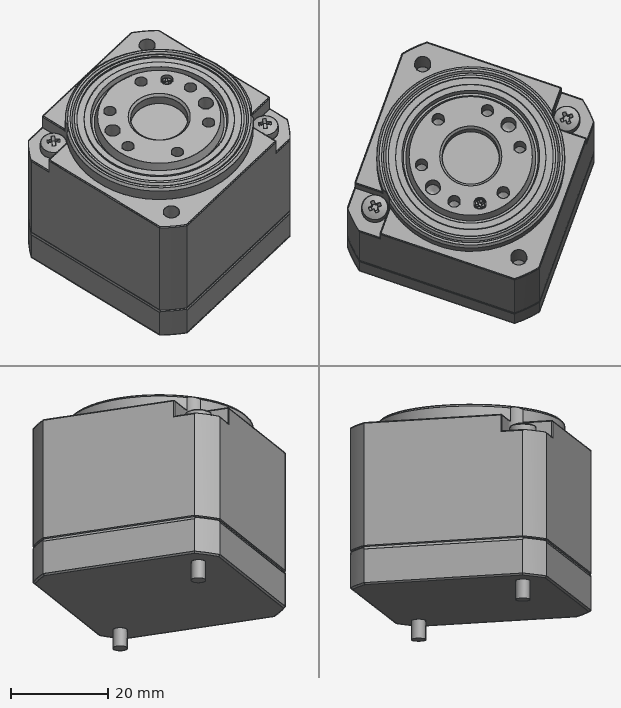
import cadquery as cq
import math

width = 42.0
corner_radius = 27.0
base_height = 8.0
block_top = 34.2
disc_top = 37.3
table_top = 37.9
edge_chamfer = 0.2
base_bottom_chamfer = 0.35
base_top_chamfer = 0.2
base_side_chamfer_drop = 0.55

disc_radius = 19.4
disc_chamfer = 0.5
vee_outer_radius = 18.4
vee_bottom_radius = 18.0
vee_inner_radius = 17.5
vee_depth = 0.4
channel_outer_radius = 17.0
channel_inner_radius = 15.5
channel_depth = 0.4

gap_mouth_radius = 14.2
gap_floor_radius = 13.9
gap_floor = disc_top - 1.2

table_face_radius = 12.7
table_radius = 13.4
bore_radius = 5.9
bore_chamfer = 0.5
bore_depth = 2.6
table_underside = table_top - 6.0
bolt_circle_radius = 10.3
tapped_diameter = 2.5
tapped_depth = 4.0
pin_hole_diameter = 3.1
pin_hole_depth = 3.5
plug_recess = 0.6
plug_bevel = 0.3
plug_cross_width = 0.45
plug_cross_radius = 0.85
plug_cross_floor_radius = 0.4
plug_cross_depth = 0.5
drill_point_angle = 118.0

mount_hole_diameter = 3.3
mount_hole_offset = 16.2
mount_hole_depth = 8.0
screw_offset = 15.5
recess_radius = 3.0
recess_wall = screw_offset - recess_radius
recess_floor = block_top - 3.5
shank_diameter = 3.0
shank_projection = 4.0
head_radius = 2.75
head_side_height = 1.4
dome_radius = 2.65
dome_start = 1.75
head_height = 2.5
cross_width = 0.75
cross_radius = 1.5
cross_floor_radius = 0.7
cross_depth = 0.9


def outline_slab(bottom, top):
    """Square prism whose corners are turned to the corner radius."""
    square = cq.Workplane("XY", origin=(0, 0, bottom)).rect(width, width).extrude(top - bottom)
    turned = cq.Workplane("XY", origin=(0, 0, bottom)).circle(corner_radius).extrude(top - bottom)
    return square.intersect(turned)


def drilled_hole(x, y, top, diameter, depth):
    """Blind round hole with a drill-point bottom, as a cutting solid."""
    radius = diameter / 2
    point = radius / math.tan(math.radians(drill_point_angle / 2))
    profile = [(0, 0), (radius, 0), (radius, -depth), (0, -depth - point)]
    hole = cq.Workplane("XZ").polyline(profile).close().revolve(360, (0, 0), (0, 1))
    return hole.translate((x, y, top))


def cross_recess(top, slot_width, radius, floor_radius, depth):
    """Cutting solid for a diagonal cross whose slots slope inward to a flat floor."""
    bottom = cq.Workplane("XY", origin=(0, 0, top - depth))
    bar = bottom.rect(2 * radius, slot_width).extrude(depth).rotate((0, 0, 0), (0, 0, 1), 45)
    cross = bar.union(bar.rotate((0, 0, 0), (0, 0, 1), 90))
    taper = bottom.circle(floor_radius).workplane(offset=depth).circle(radius).loft()
    return cross.intersect(taper)


def corner_recess(side):
    """Clearance for one screw head, open to the corner and upward; side is +1 or -1."""
    reach = width / 2
    size = reach - recess_wall
    center = side * (recess_wall + reach) / 2
    block = (
        cq.Workplane("XY", origin=(center, center, recess_floor))
        .rect(size, size)
        .extrude(table_top - recess_floor)
    )
    inner_edge = "<X and <Y" if side > 0 else ">X and >Y"
    return block.edges("|Z").edges(inner_edge).fillet(recess_radius)


def is_recess_rim_edge(edge):
    """True for the edges where a recess floor or wall runs out at the housing's outline."""
    center = edge.Center()
    near, far = sorted((abs(center.x), abs(center.y)))
    tolerance = 0.01
    on_side = far > width / 2 - tolerance
    on_corner = math.hypot(near, far) > corner_radius - tolerance
    on_floor = abs(center.z - recess_floor) < tolerance
    on_wall = abs(near - recess_wall) < tolerance and center.z < block_top - tolerance
    return (on_floor and (on_side or on_corner)) or (on_wall and on_side)


def make_base():
    base = outline_slab(0, base_height).faces("<Z").chamfer(base_bottom_chamfer)
    top_width = width - 2 * base_top_chamfer
    shoulder = base_height - base_side_chamfer_drop
    relieved_square = (
        cq.Workplane("XY")
        .rect(width, width)
        .extrude(shoulder)
        .faces(">Z")
        .workplane()
        .rect(width, width)
        .workplane(offset=base_side_chamfer_drop)
        .rect(top_width, top_width)
        .loft()
    )
    turned = cq.Workplane("XY").circle(corner_radius).extrude(base_height)
    turned = turned.faces(">Z").chamfer(base_top_chamfer)
    return base.intersect(relieved_square).intersect(turned)


def make_block():
    block = outline_slab(base_height, block_top)
    for side in (-1, 1):
        block = block.cut(corner_recess(side))
    rim_edges = [edge for edge in block.edges().vals() if is_recess_rim_edge(edge)]
    face_edges = block.faces("<Z or >Z").edges().vals()
    return block.newObject(rim_edges + face_edges).chamfer(edge_chamfer)


def make_disc():
    """Bearing disc with its ring channel and vee groove, notched for the screw heads."""
    profile = [
        (0, block_top - edge_chamfer),
        (disc_radius, block_top - edge_chamfer),
        (disc_radius, disc_top - disc_chamfer),
        (disc_radius - disc_chamfer, disc_top),
        (vee_outer_radius, disc_top),
        (vee_bottom_radius, disc_top - vee_depth),
        (vee_inner_radius, disc_top),
        (channel_outer_radius, disc_top),
        (channel_outer_radius, disc_top - channel_depth),
        (channel_inner_radius, disc_top - channel_depth),
        (channel_inner_radius, disc_top),
        (gap_mouth_radius, disc_top),
        (gap_floor_radius, gap_floor),
        (0, gap_floor),
    ]
    disc = cq.Workplane("XZ").polyline(profile).close().revolve(360, (0, 0), (0, 1))
    for side in (-1, 1):
        disc = disc.cut(corner_recess(side))
    return disc


def make_screw(side):
    """Pan head screw with a cross recess, standing on the recess floor."""
    top = recess_floor + head_height
    profile = (
        cq.Workplane("XZ")
        .moveTo(0, -shank_projection)
        .lineTo(shank_diameter / 2, -shank_projection)
        .lineTo(shank_diameter / 2, recess_floor)
        .lineTo(head_radius, recess_floor)
        .lineTo(head_radius, recess_floor + head_side_height)
        .lineTo(dome_radius, recess_floor + dome_start)
    )
    dome_rise = head_height - dome_start
    sphere_radius = (dome_radius**2 + dome_rise**2) / (2 * dome_rise)
    screw = (
        profile.radiusArc((0, top), -sphere_radius)
        .close()
        .revolve(360, (0, 0), (0, 1))
    )
    screw = screw.cut(cross_recess(top, cross_width, cross_radius, cross_floor_radius, cross_depth))
    return screw.translate((side * screw_offset, side * screw_offset, 0))


def make_housing():
    """Fixed body: base, block, bearing disc and the two screws."""
    body = make_base().union(make_block()).union(make_disc())
    for side in (-1, 1):
        body = body.union(make_screw(side))
        x = side * mount_hole_offset
        body = body.cut(drilled_hole(x, -x, block_top, mount_hole_diameter, mount_hole_depth))
    pocket = cq.Workplane("XY", origin=(0, 0, table_underside))
    return body.cut(pocket.circle(table_radius).extrude(table_top - table_underside))


def plug_cavity():
    """Space above the plug screw: the open thread, the bevelled rim and the cross recess."""
    plug_top = table_top - plug_recess
    radius = tapped_diameter / 2
    profile = [
        (0, table_top),
        (radius, table_top),
        (radius, plug_top - plug_bevel),
        (radius - plug_bevel, plug_top),
        (0, plug_top),
    ]
    cavity = cq.Workplane("XZ").polyline(profile).close().revolve(360, (0, 0), (0, 1))
    cross = cross_recess(
        plug_top, plug_cross_width, plug_cross_radius, plug_cross_floor_radius, plug_cross_depth
    )
    return cavity.union(cross)


def make_table():
    """Rotary table with its blind bore, tapped holes, pin holes and plug screw."""
    profile = [
        (0, table_underside),
        (table_radius, table_underside),
        (table_radius, gap_floor),
        (table_face_radius, table_top),
        (bore_radius + bore_chamfer, table_top),
        (bore_radius, table_top - bore_chamfer),
        (bore_radius, table_top - bore_depth),
        (0, table_top - bore_depth),
    ]
    table = cq.Workplane("XZ").polyline(profile).close().revolve(360, (0, 0), (0, 1))

    def on_bolt_circle(angle):
        turn = math.radians(angle)
        return bolt_circle_radius * math.cos(turn), bolt_circle_radius * math.sin(turn)

    for angle in range(30, 390, 60):
        table = table.cut(drilled_hole(*on_bolt_circle(angle), table_top, tapped_diameter, tapped_depth))
    for angle in (60, 240):
        table = table.cut(drilled_hole(*on_bolt_circle(angle), table_top, pin_hole_diameter, pin_hole_depth))

    return table.cut(plug_cavity().translate((*on_bolt_circle(120), 0)))


housing = make_housing()
table = make_table()

result = cq.Compound.makeCompound([housing.val(), table.val()])